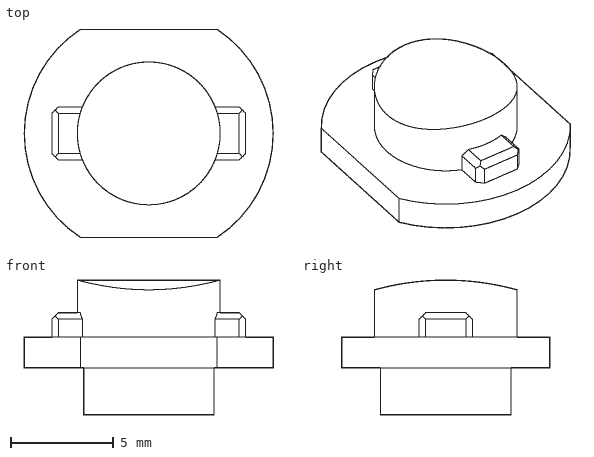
import cadquery as cq

flange_diameter = 12.2
flange_width = 10.2
flange_thickness = 1.5

spigot_diameter = 6.4
spigot_length = 2.3

boss_diameter = 7.0
boss_height = 2.8
crown_radius = 13.0

lug_span = 9.5
lug_width = 2.6
lug_height = 1.2
lug_chamfer = 0.32

boss_top = flange_thickness + boss_height


def make_flange():
    disc = cq.Workplane("XY").circle(flange_diameter / 2).extrude(flange_thickness)
    flats = cq.Workplane("XY").rect(flange_diameter, flange_width).extrude(flange_thickness)
    return disc.intersect(flats)


def make_spigot():
    return cq.Workplane("XY").circle(spigot_diameter / 2).extrude(-spigot_length)


def make_boss():
    boss = (
        cq.Workplane("XY")
        .workplane(offset=flange_thickness)
        .circle(boss_diameter / 2)
        .extrude(boss_height)
    )
    crown = (
        cq.Workplane("YZ")
        .center(0, boss_top - crown_radius)
        .circle(crown_radius)
        .extrude(boss_diameter / 2, both=True)
    )
    return boss.intersect(crown)


def make_lug_bar():
    return (
        cq.Workplane("XY")
        .workplane(offset=flange_thickness)
        .rect(lug_span, lug_width)
        .extrude(lug_height)
    )


def make_lugs():
    lugs = make_lug_bar().edges("|Z").chamfer(lug_chamfer)
    for top_edges in (">Z and |X", ">Z and |Y"):
        lugs = lugs.intersect(make_lug_bar().edges(top_edges).chamfer(lug_chamfer))
    return lugs


result = make_flange().union(make_spigot()).union(make_boss()).union(make_lugs())